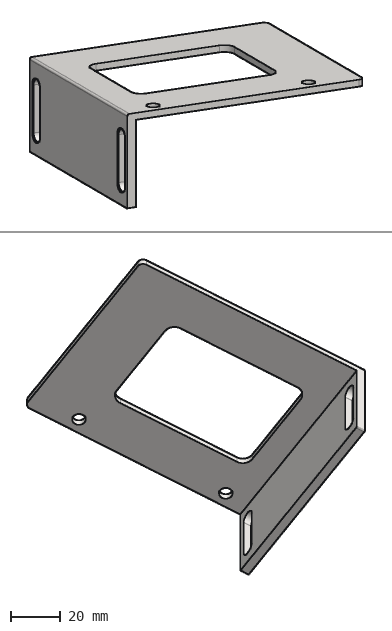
import cadquery as cq

width = 87.6
depth = 107.3
height = 40.0

plate_thickness = 3.0
flange_thickness = 4.0

bend_radius = 1.0
plate_corner_radius = 2.5
flange_corner_radius = 0.4

window_width = 45.3
window_depth = 65.0
window_left = 20.2
window_front = 15.1
window_corner_radius = 4.5

hole_diameter = 5.5
hole_edge_distance = 6.0
hole_front = 14.7
hole_spacing = 70.4

slot_width = 6.0
slot_length = 26.3
slot_spacing = 76.2
slot_center_drop = 21.1
slot_chamfer = 0.48


def make_plate():
    """Horizontal plate with rounded rear corners, its top face at z = height."""
    plate = cq.Workplane("XY").box(width, depth, plate_thickness, centered=False)
    plate = plate.edges("|Z and >Y").fillet(plate_corner_radius)
    return plate.translate((0, 0, height - plate_thickness))


def make_flange():
    """Vertical flange along the front edge, with rounded lower corners."""
    flange = cq.Workplane("XY").box(width, flange_thickness, height, centered=False)
    return flange.edges("|Y and <Z").fillet(flange_corner_radius)


def make_window():
    """Cutter for the rounded window."""
    window = cq.Workplane("XY").box(window_width, window_depth, height, centered=False)
    window = window.edges("|Z").fillet(window_corner_radius)
    return window.translate((window_left, window_front, 0))


def make_plate_holes():
    """Cutter for the pair of round holes."""
    hole_x = width - hole_edge_distance
    centers = [(hole_x, hole_front), (hole_x, hole_front + hole_spacing)]
    return cq.Workplane("XY").pushPoints(centers).circle(hole_diameter / 2).extrude(height)


def make_slot(center_x):
    """Cutter for one slot, flared by a chamfer at the front face of the flange."""
    front = cq.Workplane("XZ").center(center_x, height - slot_center_drop)
    through = front.slot2D(slot_length, slot_width, 90).extrude(-flange_thickness)
    flare = (
        front.slot2D(slot_length + 2 * slot_chamfer, slot_width + 2 * slot_chamfer, 90)
        .extrude(-slot_chamfer, taper=45)
    )
    return through.union(flare)


bracket = make_plate().union(make_flange())
bracket = bracket.edges("|X and <Y and >Z").fillet(bend_radius)
bracket = bracket.cut(make_window()).cut(make_plate_holes())

for side in (-1, 1):
    bracket = bracket.cut(make_slot(width / 2 + side * slot_spacing / 2))

result = bracket